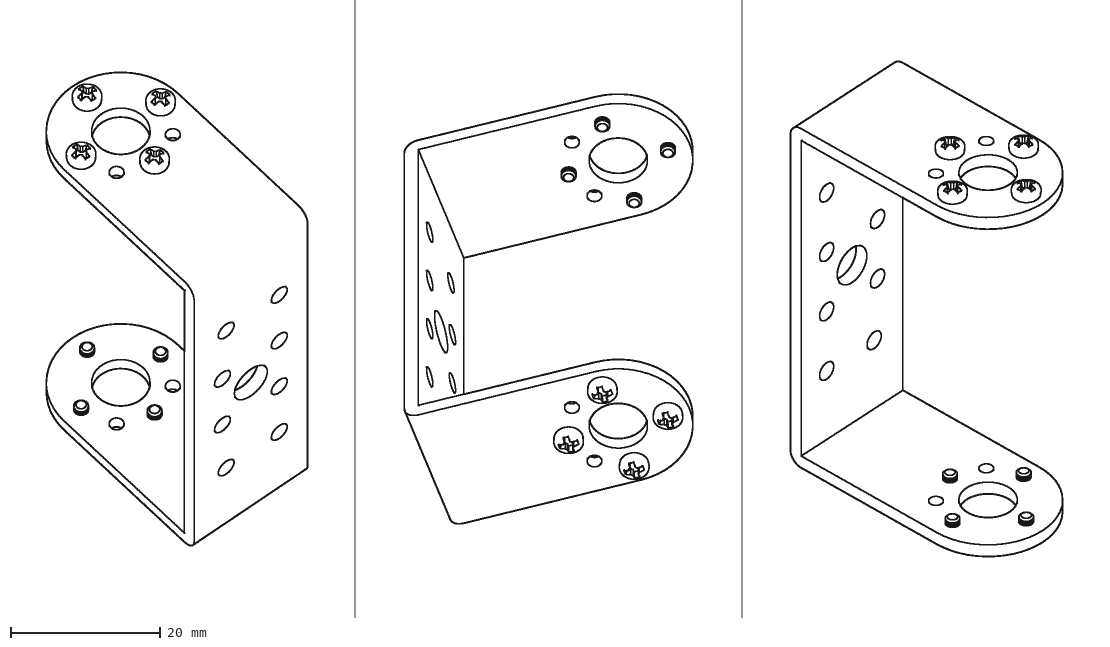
import cadquery as cq
import math

THICKNESS = 2.0
WIDTH = 20.0
LENGTH = 36.9
HEIGHT = 57.0
BEND_RADIUS = THICKNESS
END_RADIUS = WIDTH / 2

BORE_DIAMETER = 7.8
BOLT_CIRCLE_RADIUS = 7.0
SCREW_ANGLES = (0, 90, 180, 270)
SPARE_HOLE_ANGLES = (-45, 45)
SCREW_DIAMETER = 2.0

WEB_BORE_DIAMETER = 5.8
WEB_HOLE_DIAMETER = 2.8
WEB_HOLE_Y = 5.0
OUTER_HOLE_MINUS_Y = 4.35
INNER_HOLE_Z = 5.0
OUTER_HOLE_Z = 3 * INNER_HOLE_Z

HEAD_DIAMETER = 4.0
HEAD_HEIGHT = 1.7
HEAD_RIM_HEIGHT = 0.9
RIM_FILLET = 0.25
RIM_SEARCH_MARGIN = 0.05
UNDERSIDE_BEVEL_WIDTH = 0.05
UNDERSIDE_BEVEL_HEIGHT = 0.35
SHANK_PROTRUSION = 1.0
TIP_CHAMFER = 0.3
THREAD_PITCH = 0.35
THREAD_DEPTH = 0.05
RECESS_TOP_SPAN = 2.85
RECESS_FLOOR_SPAN = 2.1
RECESS_SLOT_WIDTH = 0.7
RECESS_DEPTH = 1.3
RECESS_CORE_DIAMETER = 1.45

WEB_OUTER_X = LENGTH - END_RADIUS


def bolt_circle_point(angle):
    return (
        BOLT_CIRCLE_RADIUS * math.cos(math.radians(angle)),
        BOLT_CIRCLE_RADIUS * math.sin(math.radians(angle)),
    )


def make_bracket():
    outer = (
        cq.Workplane("XY")
        .box(LENGTH, WIDTH, HEIGHT)
        .translate((WEB_OUTER_X - LENGTH / 2, 0, 0))
        .edges("|Y and >X")
        .fillet(BEND_RADIUS)
    )
    opening = (
        cq.Workplane("XY")
        .box(LENGTH, WIDTH, HEIGHT - 2 * THICKNESS)
        .translate((WEB_OUTER_X - THICKNESS - LENGTH / 2, 0, 0))
    )

    plan = (
        cq.Workplane("XY", origin=(0, 0, -HEIGHT / 2))
        .moveTo(WEB_OUTER_X, -END_RADIUS)
        .lineTo(0, -END_RADIUS)
        .threePointArc((-END_RADIUS, 0), (0, END_RADIUS))
        .lineTo(WEB_OUTER_X, END_RADIUS)
        .close()
        .extrude(HEIGHT)
    )
    bracket = outer.cut(opening).intersect(plan)
    return bracket.cut(flange_holes()).cut(web_holes())


def flange_holes():
    base = cq.Workplane("XY", origin=(0, 0, -HEIGHT / 2))
    small_holes = [bolt_circle_point(angle) for angle in SCREW_ANGLES + SPARE_HOLE_ANGLES]
    bore = base.circle(BORE_DIAMETER / 2).extrude(HEIGHT)
    return bore.union(base.pushPoints(small_holes).circle(SCREW_DIAMETER / 2).extrude(HEIGHT))


def web_holes():
    base = cq.Workplane("YZ", origin=(WEB_OUTER_X - THICKNESS, 0, 0))
    small_holes = []
    for side in (1, -1):
        small_holes += [
            (WEB_HOLE_Y, side * INNER_HOLE_Z),
            (-WEB_HOLE_Y, side * INNER_HOLE_Z),
            (WEB_HOLE_Y, side * OUTER_HOLE_Z),
            (-OUTER_HOLE_MINUS_Y, side * OUTER_HOLE_Z),
        ]
    bore = base.circle(WEB_BORE_DIAMETER / 2).extrude(THICKNESS)
    return bore.union(base.pushPoints(small_holes).circle(WEB_HOLE_DIAMETER / 2).extrude(THICKNESS))


def make_head():
    radius = HEAD_DIAMETER / 2
    dome_rise = HEAD_HEIGHT - HEAD_RIM_HEIGHT
    dome_radius = (radius**2 + dome_rise**2) / (2 * dome_rise)
    middle_x = radius / 2
    middle_z = HEAD_HEIGHT - dome_radius + math.sqrt(dome_radius**2 - middle_x**2)
    head = (
        cq.Workplane("XZ")
        .lineTo(radius - UNDERSIDE_BEVEL_WIDTH, 0)
        .lineTo(radius, UNDERSIDE_BEVEL_HEIGHT)
        .lineTo(radius, HEAD_RIM_HEIGHT)
        .threePointArc((middle_x, middle_z), (0, HEAD_HEIGHT))
        .close()
        .revolve(360, (0, 0, 0), (0, 1, 0))
    )
    rim = cq.selectors.BoxSelector(
        (-radius, -radius, HEAD_RIM_HEIGHT - RIM_SEARCH_MARGIN),
        (radius, radius, HEAD_RIM_HEIGHT + RIM_SEARCH_MARGIN),
    )
    return head.edges(rim).fillet(RIM_FILLET).cut(cross_recess())


def cross_recess():
    floor_z = HEAD_HEIGHT - RECESS_DEPTH
    slot = (
        cq.Workplane("XZ")
        .moveTo(-RECESS_FLOOR_SPAN / 2, floor_z)
        .lineTo(RECESS_FLOOR_SPAN / 2, floor_z)
        .lineTo(RECESS_TOP_SPAN / 2, HEAD_HEIGHT)
        .lineTo(-RECESS_TOP_SPAN / 2, HEAD_HEIGHT)
        .close()
        .extrude(RECESS_SLOT_WIDTH / 2, both=True)
    )
    core = (
        cq.Workplane("XY", origin=(0, 0, floor_z))
        .circle(RECESS_CORE_DIAMETER / 2)
        .extrude(RECESS_DEPTH)
    )
    return slot.union(slot.rotate((0, 0, 0), (0, 0, 1), 90)).union(core)


def make_shank():
    crest_radius = SCREW_DIAMETER / 2
    root_radius = crest_radius - THREAD_DEPTH
    tip_z = -THICKNESS - SHANK_PROTRUSION
    thread_length = -tip_z - TIP_CHAMFER
    groove_count = math.floor(thread_length / THREAD_PITCH)

    profile = (
        cq.Workplane("XZ")
        .moveTo(0, tip_z)
        .lineTo(crest_radius - TIP_CHAMFER, tip_z)
        .lineTo(crest_radius, tip_z + TIP_CHAMFER)
    )
    for groove in range(groove_count):
        groove_z = tip_z + TIP_CHAMFER + groove * THREAD_PITCH
        profile = profile.lineTo(root_radius, groove_z + THREAD_PITCH / 2)
        profile = profile.lineTo(crest_radius, groove_z + THREAD_PITCH)
    return (
        profile
        .lineTo(crest_radius, 0)
        .lineTo(0, 0)
        .close()
        .revolve(360, (0, 0, 0), (0, 1, 0))
    )


def place_screws():
    top_screw = make_head().union(make_shank()).translate((0, 0, HEIGHT / 2))
    screws = []
    for angle in SCREW_ANGLES:
        x, y = bolt_circle_point(angle)
        screw = top_screw.translate((x, y, 0))
        screws += [screw, screw.mirror("XY")]
    return screws


bracket = make_bracket()
screws = place_screws()
result = cq.Compound.makeCompound([bracket.val(), *[screw.val() for screw in screws]])